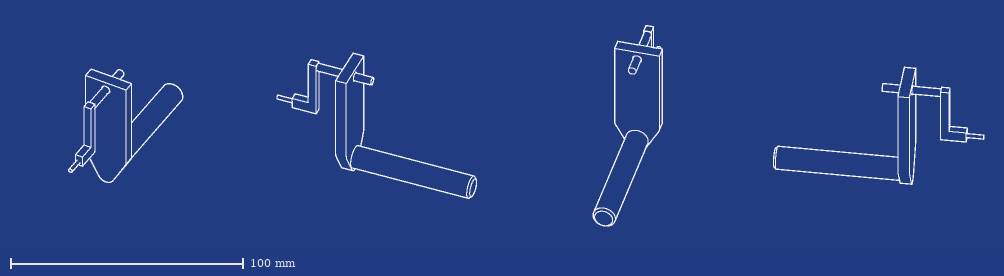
import cadquery as cq
import math

plate_width = 20.0
plate_height = 55.7
plate_thickness = 5.0
plate_front_y = 0.0
plate_back_y = plate_front_y + plate_thickness
shoulder_height = 13.7
shoulder_radius = 4.0
tip_radius = 4.0

handle_diameter = 10.0
handle_length = 55.0
handle_center_z = 6.8
handle_chamfer = 1.0

shaft_diameter = 3.5
shaft_hole_diameter = 4.0
shaft_center_z = plate_height - 4.0
shaft_front_reach = 12.4
shaft_back_reach = 8.0

arm_width = shaft_diameter
arm_thickness = 3.7
arm_top_z = shaft_center_z + shaft_diameter / 2
arm_height = 26.75
foot_height = 5.2
foot_length = 11.2
pin_diameter = 1.8
pin_length = 7.5
pin_root_fillet = 0.3
pin_above_foot_bottom = 2.3

arm_back_y = plate_front_y - shaft_front_reach
arm_front_y = arm_back_y - arm_thickness
foot_front_y = arm_back_y - foot_length
arm_bottom_z = arm_top_z - arm_height
foot_top_z = arm_bottom_z + foot_height
pin_center_z = arm_bottom_z + pin_above_foot_bottom


def rod(diameter, start_y, end_y, center_z):
    """Cylinder along Y on the plane X = 0."""
    return cq.Workplane(
        cq.Solid.makeCylinder(
            diameter / 2, end_y - start_y, cq.Vector(0, start_y, center_z), cq.Vector(0, 1, 0)
        )
    )


def make_plate():
    """Flat plate whose lower end tapers to a rounded tip."""
    half_width = plate_width / 2
    rise_to_shoulder = shoulder_height - tip_radius
    shoulder_distance = math.hypot(half_width, rise_to_shoulder)
    taper_angle = math.atan2(half_width, rise_to_shoulder) - math.asin(tip_radius / shoulder_distance)
    apex_z = tip_radius - tip_radius / math.sin(taper_angle)

    outline = [
        (-half_width, plate_height),
        (half_width, plate_height),
        (half_width, shoulder_height),
        (0, apex_z),
        (-half_width, shoulder_height),
    ]
    plate = (
        cq.Workplane("XZ", origin=(0, plate_back_y, 0))
        .polyline(outline)
        .close()
        .extrude(plate_thickness)
    )
    plate = plate.edges("|Y").edges("<Z").fillet(tip_radius)
    middle_y = (plate_front_y + plate_back_y) / 2
    for side in (-1, 1):
        corner = (side * half_width, middle_y, shoulder_height)
        plate = plate.edges(cq.selectors.NearestToPointSelector(corner)).fillet(shoulder_radius)
    return plate


def make_handle_plate():
    """Plate with its handle and the clearance hole for the crank shaft."""
    handle = rod(handle_diameter, plate_back_y, plate_back_y + handle_length, handle_center_z)
    handle = handle.faces(">Y").chamfer(handle_chamfer)
    shaft_hole = rod(shaft_hole_diameter, plate_front_y, plate_back_y, shaft_center_z)
    return make_plate().union(handle).cut(shaft_hole)


def make_crank():
    """Shaft, L-shaped arm and thin pin in one piece."""
    arm_profile = [
        (arm_back_y, arm_top_z),
        (arm_back_y, arm_bottom_z),
        (foot_front_y, arm_bottom_z),
        (foot_front_y, foot_top_z),
        (arm_front_y, foot_top_z),
        (arm_front_y, arm_top_z),
    ]
    arm = cq.Workplane("YZ").polyline(arm_profile).close().extrude(arm_width / 2, both=True)
    shaft = rod(shaft_diameter, arm_back_y, plate_back_y + shaft_back_reach, shaft_center_z)
    pin = rod(pin_diameter, foot_front_y - pin_length, foot_front_y, pin_center_z)
    crank = arm.union(shaft).union(pin)

    foot_front = crank.faces(cq.selectors.NearestToPointSelector((0, foot_front_y, arm_bottom_z)))
    return foot_front.edges("%CIRCLE").fillet(pin_root_fillet)


handle_plate = make_handle_plate()
crank = make_crank()

result = cq.Compound.makeCompound([handle_plate.val(), crank.val()])